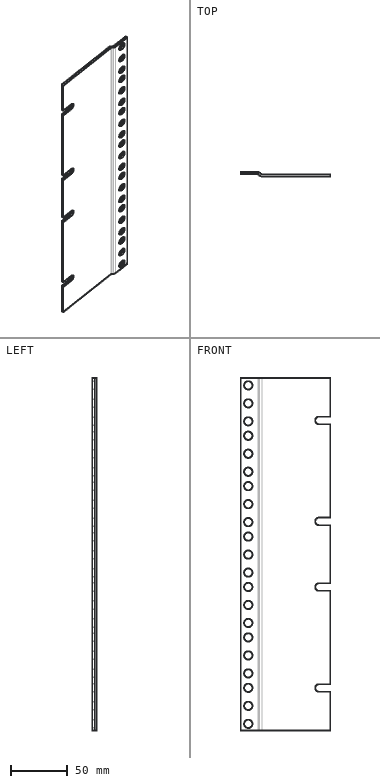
import cadquery as cq
import math

height = 311.0
width = 79.3
depth = 4.0
thickness = depth / 2
offset = depth - thickness

bend_angle = 45.0
front_bend_x = 15.5
inner_radius = 1.0
outer_radius = inner_radius + thickness

hole_diameter = 7.2
hole_x = 7.0
group_count = 7
holes_per_group = 3
group_pitch = height / group_count
hole_pitch = 16.0
hole_pattern_drop = 0.3

slot_width = 6.5
slot_depth = 13.5
slot_heights = (29.0, 118.0)


def joggled_plate():
    """Bent sheet: the flange sits behind the wide plate, with rounded bends."""
    run = offset / math.tan(math.radians(bend_angle))
    back_bend_x = front_bend_x + thickness * math.tan(math.radians(bend_angle / 2))
    sheet = (
        cq.Workplane("XY")
        .moveTo(0, offset)
        .lineTo(front_bend_x, offset)
        .lineTo(front_bend_x + run, 0)
        .lineTo(width, 0)
        .lineTo(width, thickness)
        .lineTo(back_bend_x + run, thickness)
        .lineTo(back_bend_x, depth)
        .lineTo(0, depth)
        .close()
        .extrude(height)
    )

    def round_bend(body, x, y, radius):
        edge = cq.selectors.NearestToPointSelector((x, y, height / 2))
        return body.edges("|Z").edges(edge).fillet(radius)

    sheet = round_bend(sheet, front_bend_x, offset, inner_radius)
    sheet = round_bend(sheet, back_bend_x + run, thickness, inner_radius)
    sheet = round_bend(sheet, front_bend_x + run, 0, outer_radius)
    return round_bend(sheet, back_bend_x, depth, outer_radius)


def rack_holes():
    """Cylinders through the flange, three per rack unit."""
    middle_hole = (holes_per_group - 1) / 2
    points = []
    for group in range(group_count):
        group_centre = (group + 0.5) * group_pitch - hole_pattern_drop
        for hole in range(holes_per_group):
            points.append((hole_x, group_centre + (hole - middle_hole) * hole_pitch))
    return cq.Workplane("XZ").pushPoints(points).circle(hole_diameter / 2).extrude(-depth)


def edge_slots():
    """Round-ended slots; the outer round end lies beyond the plate edge."""
    points = [
        (width, height / 2 + side * distance)
        for distance in slot_heights
        for side in (-1, 1)
    ]
    return cq.Workplane("XZ").pushPoints(points).slot2D(2 * slot_depth, slot_width).extrude(-depth)


result = joggled_plate().cut(rack_holes()).cut(edge_slots())